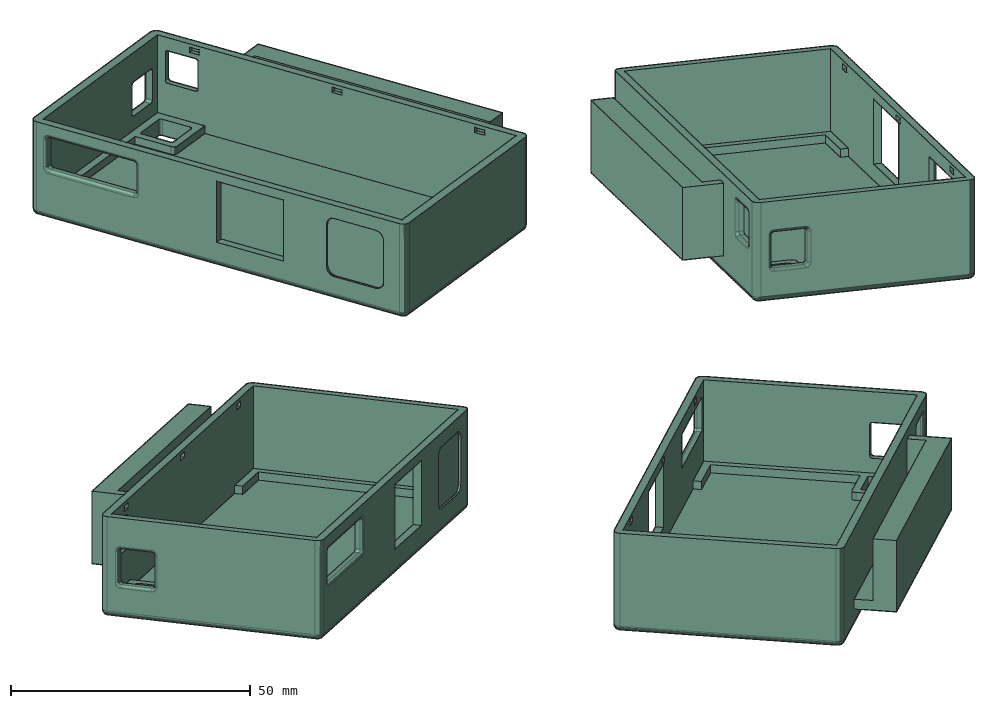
import cadquery as cq

LENGTH = 92.0
WIDTH = 49.0
HEIGHT = 22.0
SIDE_WALL = 2.0
LONG_WALL = 1.8
FLOOR = 2.0
CORNER_RADIUS = 1.5
BOTTOM_RADIUS = 1.2

LEDGE_HEIGHT = 1.8
LEDGE_WIDTH = 1.8
LEDGE_REACH = 13.6

CORNER_HOLE = 8.0
CORNER_HOLE_OFFSET = 7.9
OPENING_RADIUS = 0.6
PAD_SIZE = LEDGE_REACH
PAD_RADIUS = 1.0
SIDE_HOLE_Z = 11.1
SIDE_HOLE_ROUNDING = 0.6

SLOT_LEFT = 3.9
SLOT_LENGTH = 21.9
SLOT_HEIGHT = 7.6
SLOT_Z = 15.1
SLOT_ROUNDING = 0.7
WINDOW_LEFT = 45.6
WINDOW_LENGTH = 16.4
WINDOW_BOTTOM = 5.6
WINDOW_HEIGHT = 14.3

PANEL_LENGTH = 14.0
PANEL_HEIGHT = 13.6
PANEL_X = 79.6
PANEL_Z = 12.1
PANEL_RADIUS = 2.0
PANEL_DEPTH = 0.5

LATCH_PITCH = 35.0
LATCH_LENGTH = 2.4
LATCH_HEIGHT = 1.2
LATCH_DEPTH = 1.0
LATCH_TOP_GAP = 0.8

HOLDER_LEFT = 20.0
HOLDER_LENGTH = 60.0
HOLDER_DEPTH = 9.0
HOLDER_BOTTOM = 4.0
HOLDER_HEIGHT = 16.0
HOLDER_SLOT_WIDTH = 4.0
HOLDER_WALL = 2.2


def block(x, y, z, length, width, height):
    """Box with its lowest corner at (x, y, z)."""
    return cq.Workplane("XY").box(length, width, height, centered=False).translate((x, y, z))


def make_shell():
    outer = block(0, 0, 0, LENGTH, WIDTH, HEIGHT)
    outer = outer.edges("|Z").fillet(CORNER_RADIUS)
    outer = outer.faces("<Z").edges().fillet(BOTTOM_RADIUS)
    cavity = block(SIDE_WALL, LONG_WALL, FLOOR,
                   LENGTH - 2 * SIDE_WALL, WIDTH - 2 * LONG_WALL, HEIGHT - FLOOR)
    return outer.cut(cavity)


def make_ledge():
    inner_length = LENGTH - 2 * SIDE_WALL
    inner_width = WIDTH - 2 * LONG_WALL
    ring = block(SIDE_WALL, LONG_WALL, FLOOR, inner_length, inner_width, LEDGE_HEIGHT)
    middle = block(SIDE_WALL + LEDGE_WIDTH, LONG_WALL + LEDGE_WIDTH, FLOOR,
                   inner_length - 2 * LEDGE_WIDTH, inner_width - 2 * LEDGE_WIDTH, LEDGE_HEIGHT)
    gap = block(LEDGE_REACH, 0, FLOOR, LENGTH - 2 * LEDGE_REACH, WIDTH, LEDGE_HEIGHT)
    return ring.cut(middle).cut(gap)


def make_corner_pad():
    pad = block(SIDE_WALL, WIDTH - PAD_SIZE, FLOOR,
                PAD_SIZE - SIDE_WALL, PAD_SIZE - LONG_WALL, LEDGE_HEIGHT)
    return pad.edges("|Z and >X and <Y").fillet(PAD_RADIUS)


def make_holder():
    body = block(HOLDER_LEFT, WIDTH, HOLDER_BOTTOM, HOLDER_LENGTH, HOLDER_DEPTH, HOLDER_HEIGHT)
    slot = block(HOLDER_LEFT + HOLDER_WALL, WIDTH, HOLDER_BOTTOM + HOLDER_WALL,
                 HOLDER_LENGTH - HOLDER_WALL, HOLDER_SLOT_WIDTH, HOLDER_HEIGHT - HOLDER_WALL)
    return body.cut(slot)


def flared_cutter(length, height, depth, radius, rounding):
    """Rounded rectangular plug from z = 0 down to -depth, flaring to meet z = 0 with a rounded rim.

    The plug is what remains of a solid slab once a frame with a rounded hole rim is taken away.
    """
    slab_margin = 3 * rounding
    slab = cq.Workplane("XY").rect(length + 2 * slab_margin, height + 2 * slab_margin).extrude(-depth)
    hole = cq.Workplane("XY").rect(length, height).extrude(-depth).edges("|Z").fillet(radius)
    around_rim = cq.selectors.BoxSelector(
        (-length / 2 - rounding, -height / 2 - rounding, -rounding),
        (length / 2 + rounding, height / 2 + rounding, rounding))
    frame = slab.cut(hole).faces(">Z").edges(around_rim).fillet(rounding)
    return slab.cut(frame)


def cut_corner_openings(body):
    hole_y = WIDTH - CORNER_HOLE_OFFSET
    drill = block(CORNER_HOLE_OFFSET - CORNER_HOLE / 2, hole_y - CORNER_HOLE / 2, 0,
                  CORNER_HOLE, CORNER_HOLE, FLOOR + LEDGE_HEIGHT)
    body = body.cut(drill.edges("|Z").fillet(OPENING_RADIUS))

    side = flared_cutter(CORNER_HOLE, CORNER_HOLE, SIDE_WALL, OPENING_RADIUS, SIDE_HOLE_ROUNDING)
    side = side.rotate((0, 0, 0), (0, 1, 0), -90)
    body = body.cut(side.translate((0, hole_y, SIDE_HOLE_Z)))

    back = flared_cutter(CORNER_HOLE, SLOT_HEIGHT, LONG_WALL, OPENING_RADIUS, SLOT_ROUNDING)
    back = back.rotate((0, 0, 0), (1, 0, 0), -90)
    return body.cut(back.translate((CORNER_HOLE_OFFSET, WIDTH, SLOT_Z)))


def cut_front_openings(body):
    slot = flared_cutter(SLOT_LENGTH, SLOT_HEIGHT, LONG_WALL, OPENING_RADIUS, SLOT_ROUNDING)
    slot = slot.rotate((0, 0, 0), (1, 0, 0), 90)
    body = body.cut(slot.translate((SLOT_LEFT + SLOT_LENGTH / 2, 0, SLOT_Z)))

    body = body.cut(block(WINDOW_LEFT, 0, WINDOW_BOTTOM, WINDOW_LENGTH, LONG_WALL, WINDOW_HEIGHT))

    panel = block(PANEL_X - PANEL_LENGTH / 2, 0, PANEL_Z - PANEL_HEIGHT / 2,
                  PANEL_LENGTH, PANEL_DEPTH, PANEL_HEIGHT)
    return body.cut(panel.edges("|Y").fillet(PANEL_RADIUS))


def cut_latch_sockets(body):
    socket_z = HEIGHT - LATCH_TOP_GAP - LATCH_HEIGHT
    for step in (-1, 0, 1):
        socket_x = LENGTH / 2 + step * LATCH_PITCH - LATCH_LENGTH / 2
        for socket_y in (LONG_WALL - LATCH_DEPTH, WIDTH - LONG_WALL):
            body = body.cut(block(socket_x, socket_y, socket_z,
                                  LATCH_LENGTH, LATCH_DEPTH, LATCH_HEIGHT))
    return body


body = make_shell().union(make_ledge()).union(make_corner_pad()).union(make_holder())
body = cut_corner_openings(body)
body = cut_front_openings(body)
result = cut_latch_sockets(body)